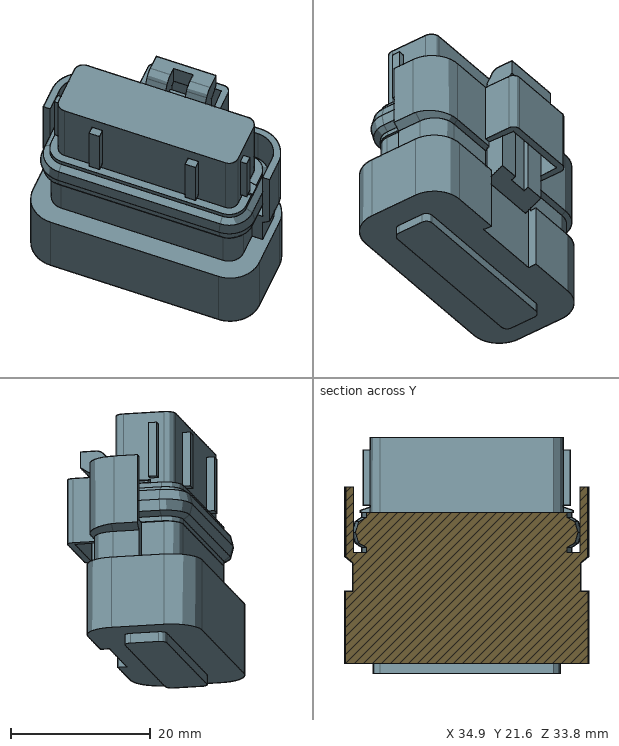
import cadquery as cq
import math


FOOT_HEIGHT = 1.43
BASE_TOP = 11.8
COLLAR_BOTTOM = 17.35
COLLAR_TOP = 23.07
SHROUD_TOP = 26.7
PLUG_TOP = 33.8

FOOT = (13.4, 3.07, 1.0)
BASE = (17.45, 8.38, 4.5)
NECK = (14.73, 5.48, 2.27)
COLLAR = (15.05, 5.5, 2.62)
PLUG = (13.82, 4.35, 1.4)
SHROUD_FOOT = (16.37, 7.35, 3.5)
SHROUD = (17.45, 8.0, 4.55)
SHROUD_CAVITY = (16.37, 7.05, 3.5)

SEAL_MIDDLE = (COLLAR_BOTTOM + COLLAR_TOP) / 2
SEAL_HALF_HEIGHT = 2.15
SEAL_PROTRUSION = 1.33
SEAL_FACETS = 4

SHROUD_FRONT = 0.07
FLARE_BOTTOM = 15.85
FLARE_HEIGHT = 0.9
FLARE_ANGLE = math.degrees(math.atan((SHROUD[0] - SHROUD_FOOT[0]) / FLARE_HEIGHT))

GUARD_HALF_WIDTH = 6.18
GUARD_BOTTOM = 17.2
GUARD_BACK = 13.23
GUARD_WALL = 1.05
GUARD_RADIUS = 1.05
OPENING_FRONT = SHROUD_CAVITY[1]
OPENING_BACK = GUARD_BACK - GUARD_WALL
OPENING_FRONT_HALF_WIDTH = 5.37
OPENING_BACK_HALF_WIDTH = GUARD_HALF_WIDTH - GUARD_WALL

LATCH_HALF_WIDTH = 4.6
LATCH_FRONT = OPENING_FRONT
LATCH_BACK = 9.8
LATCH_ROOT_FRONT_Z = 10.95
LATCH_ROOT_BACK_Z = 12.42
HOOK_BACK = 11.5
HOOK_TOP = 30.95
HOOK_UNDERSIDE = 28.62
HOOK_NECK = 27.55
NOSE_BOTTOM = 28.83
NOSE_DEPTH = 1.25
NOSE_RADIUS = 1.57
SLOT_HALF_WIDTH = 1.5
SLOT_STEP = 9.15
SLOT_BACK = 10.4

RIB_BOTTOM = 24.08
RIB_TOP = 32.0
FRONT_RIB_WIDTH = 1.6
FRONT_RIB_SPACING = 14.8
FRONT_RIB_SHIFT = 0.07
FRONT_RIB_FACE = -COLLAR[1]
SIDE_RIB_FACE = 14.83
SIDE_RIB_FRONT = -2.15
SIDE_RIB_BACK = -0.95

LUG_FRONT = -0.98
LUG_BACK = 0.7
LUG_FACE = 15.25
LUG_OUTER_Z = 23.35
LUG_INNER_Z = 23.85


def rounded_sketch(section, grow=0.0):
    """Rounded rectangle, grown outward by the same amount all round."""
    half_x, half_y, radius = section
    sketch = cq.Sketch().rect(2 * (half_x + grow), 2 * (half_y + grow))
    return sketch.vertices().fillet(radius + grow)


def rounded_block(section, bottom, top):
    plane = cq.Workplane("XY", origin=(0, 0, bottom))
    return plane.placeSketch(rounded_sketch(section)).extrude(top - bottom)


def span_box(x_range, y_range, z_range):
    """Box between the given limits on each axis."""
    (x0, x1), (y0, y1), (z0, z1) = x_range, y_range, z_range
    return cq.Workplane("XY").box(x1 - x0, y1 - y0, z1 - z0, centered=False).translate((x0, y0, z0))


def make_core():
    """Foot, base, neck, collar and plug stacked on top of each other."""
    core = rounded_block(FOOT, 0, FOOT_HEIGHT)
    core = core.union(rounded_block(BASE, FOOT_HEIGHT, BASE_TOP))
    core = core.union(rounded_block(NECK, BASE_TOP, COLLAR_BOTTOM))
    core = core.union(rounded_block(COLLAR, COLLAR_BOTTOM, COLLAR_TOP))
    return core.union(rounded_block(PLUG, COLLAR_TOP, PLUG_TOP))


def make_seal():
    """Ruled bands between successive levels of the faceted bead."""
    angles = [math.pi * (i / SEAL_FACETS - 0.5) for i in range(SEAL_FACETS + 1)]
    levels = [SEAL_MIDDLE + SEAL_HALF_HEIGHT * math.sin(a) for a in angles]
    sketches = [rounded_sketch(COLLAR, SEAL_PROTRUSION * math.cos(a)) for a in angles]
    seal = cq.Workplane("XY")
    for i in range(SEAL_FACETS):
        lower = sketches[i].moved(cq.Location(cq.Vector(0, 0, levels[i])))
        upper = sketches[i + 1].moved(cq.Location(cq.Vector(0, 0, levels[i + 1])))
        seal = seal.add(cq.Workplane("XY").placeSketch(lower, upper).loft(ruled=True))
    return seal.combine()


def make_shroud():
    """Back-half shell that flares out from a solid lower part."""
    outline = rounded_block(SHROUD, FLARE_BOTTOM, SHROUD_TOP)
    flare_plane = cq.Workplane("XY", origin=(0, 0, FLARE_BOTTOM))
    flare = flare_plane.placeSketch(rounded_sketch(SHROUD_FOOT)).extrude(FLARE_HEIGHT, taper=-FLARE_ANGLE)
    shroud = outline.intersect(flare)
    shroud = shroud.union(rounded_block(SHROUD_FOOT, BASE_TOP, FLARE_BOTTOM))
    shroud = shroud.union(rounded_block(SHROUD, FLARE_BOTTOM + FLARE_HEIGHT, SHROUD_TOP))
    shroud = shroud.cut(rounded_block(SHROUD_CAVITY, COLLAR_BOTTOM, SHROUD_TOP))
    back_half = span_box((-SHROUD[0], SHROUD[0]), (SHROUD_FRONT, SHROUD[1]), (BASE_TOP, SHROUD_TOP))
    return shroud.intersect(back_half)


def make_guard():
    guard = span_box(
        (-GUARD_HALF_WIDTH, GUARD_HALF_WIDTH), (OPENING_FRONT, GUARD_BACK), (GUARD_BOTTOM, SHROUD_TOP)
    )
    return guard.edges("|Z and >Y").fillet(GUARD_RADIUS)


def make_opening():
    """Tapered passage for the latch, running down through guard, shroud and base."""
    corners = [
        (-OPENING_FRONT_HALF_WIDTH, OPENING_FRONT),
        (OPENING_FRONT_HALF_WIDTH, OPENING_FRONT),
        (OPENING_BACK_HALF_WIDTH, OPENING_BACK),
        (-OPENING_BACK_HALF_WIDTH, OPENING_BACK),
    ]
    return cq.Workplane("XY").polyline(corners).close().extrude(SHROUD_TOP)


def make_latch():
    """Upright arm ending in a backward hook, with a slot through its middle."""
    nose_corner = (LATCH_FRONT + NOSE_DEPTH, HOOK_TOP)
    profile = [
        (LATCH_FRONT, LATCH_ROOT_FRONT_Z),
        (LATCH_FRONT, NOSE_BOTTOM),
        nose_corner,
        (HOOK_BACK, HOOK_TOP),
        (HOOK_BACK, HOOK_UNDERSIDE),
        (LATCH_BACK, HOOK_NECK),
        (LATCH_BACK, LATCH_ROOT_BACK_Z),
    ]
    arm = cq.Workplane("YZ").polyline(profile).close().extrude(LATCH_HALF_WIDTH, both=True)
    arm = arm.edges(cq.NearestToPointSelector((0, *nose_corner))).fillet(NOSE_RADIUS)
    slot_x = (-SLOT_HALF_WIDTH, SLOT_HALF_WIDTH)
    arm = arm.cut(span_box(slot_x, (SLOT_STEP, SLOT_BACK), (LATCH_ROOT_FRONT_Z, HOOK_TOP)))
    return arm.cut(span_box(slot_x, (LATCH_FRONT, SLOT_STEP), (HOOK_NECK, HOOK_TOP)))


def make_ribs():
    """Two ribs on the front of the plug and one on each end, all rooted inside the plug."""
    rib_z = (RIB_BOTTOM, RIB_TOP)
    ribs = cq.Workplane("XY")
    for side in (-1, 1):
        middle = FRONT_RIB_SHIFT + side * FRONT_RIB_SPACING / 2
        front_x = (middle - FRONT_RIB_WIDTH / 2, middle + FRONT_RIB_WIDTH / 2)
        ribs = ribs.add(span_box(front_x, (FRONT_RIB_FACE, 0), rib_z))
    end_x = (-SIDE_RIB_FACE, SIDE_RIB_FACE)
    return ribs.add(span_box(end_x, (SIDE_RIB_FRONT, SIDE_RIB_BACK), rib_z)).combine()


def make_lugs():
    """Bar through the plug whose two sloped ends form the lugs."""
    profile = [
        (-LUG_FACE, COLLAR_TOP),
        (LUG_FACE, COLLAR_TOP),
        (LUG_FACE, LUG_OUTER_Z),
        (PLUG[0], LUG_INNER_Z),
        (-PLUG[0], LUG_INNER_Z),
        (-LUG_FACE, LUG_OUTER_Z),
    ]
    plane = cq.Workplane("XZ", origin=(0, LUG_BACK, 0))
    return plane.polyline(profile).close().extrude(LUG_BACK - LUG_FRONT)


result = make_core().union(make_shroud()).union(make_guard()).cut(make_opening())
for feature in (make_seal(), make_latch(), make_ribs(), make_lugs()):
    result = result.union(feature)